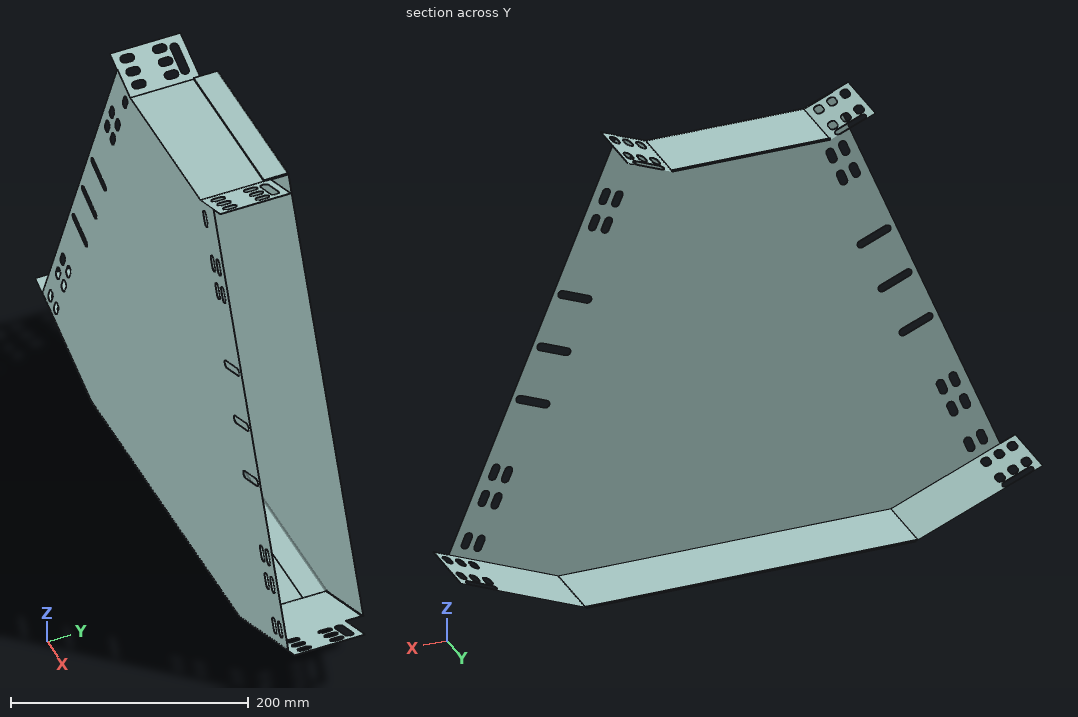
import cadquery as cq
import math


sheet = 0.8
overall_width = 531.27
wall_spacing = 401.3
wall_height = 80.0
cover_clearance = 1.0
flange_clearance = 0.6
tilt = math.radians(22.5)

inner_tab_length = 44.2
outer_tab_length = 43.4
tab_height = 65.0
tab_overhang = 15.0

flange_edge = 58.8
outer_flange_gap = 1.5

base_hole_length = 15.0
base_hole_width = 7.0
base_hole_insets = (11.5, 24.0)
base_hole_stations = (119.0, 144.0)
end_hole_station = 184.5
base_slot_length = 32.5
base_slot_width = 7.0
base_slot_inset = 21.0
base_slot_pitch = 50.0

tab_hole_length = 12.5
tab_hole_width = 7.5
tab_hole_insets = (8.5, 21.5, 34.5)
tab_hole_heights = (12.5, 42.5)
tab_slot_length = 30.5
tab_slot_width = 7.5
tab_slot_inset = 22.5
tab_slot_height = 55.0

cover_bottom = wall_height + cover_clearance
mid_depth = wall_spacing / 2
panel_reach = outer_tab_length - tab_overhang
half_growth = math.tan(tilt / 2)
inner_half = (overall_width / 2 - outer_tab_length * math.cos(tilt)
              - wall_spacing * math.sin(tilt))


def bend_point(depth):
    """Right-hand end of the flat middle stretch."""
    return (inner_half + depth * half_growth, wall_spacing - depth)


def arm_point(reach, depth):
    """Point on the right-hand oblique stretch."""
    x = inner_half + reach * math.cos(tilt) + depth * math.sin(tilt)
    z = wall_spacing + reach * math.sin(tilt) - depth * math.cos(tilt)
    return (x, z)


def symmetric_prism(right_points, y_start, y_end):
    """Extrude an XZ outline, given by its right half, from y_start to y_end."""
    left_points = [(-x, z) for x, z in reversed(right_points)]
    plane = cq.Workplane("XZ", origin=(0, y_start, 0))
    return plane.polyline(right_points + left_points).close().extrude(y_start - y_end)


def wall(upper_depth, lower_depth, tab_length):
    """Full-height bent wall between two depths."""
    outline = [
        bend_point(upper_depth),
        arm_point(tab_length, upper_depth),
        arm_point(tab_length, lower_depth),
        bend_point(lower_depth),
    ]
    return symmetric_prism(outline, 0, wall_height)


def arm_plane(depth):
    """Plane of the right-hand oblique wall: local x is reach, local y is world Y."""
    x, z = arm_point(0, depth)
    return cq.Workplane(cq.Plane(
        origin=(x, 0, z),
        xDir=(math.cos(tilt), 0, math.sin(tilt)),
        normal=(-math.sin(tilt), 0, math.cos(tilt)),
    ))


def mirrored(cutter):
    """Cutter together with its mirror image across X = 0."""
    return cutter.union(cutter.mirror("YZ"))


def tab_cutter(depth, tab_length):
    """Holes, slot and upper notch of the tabs on both ends of a wall."""
    plane = arm_plane(depth)
    cut = 4 * sheet
    holes = [(tab_length - inset, height) for inset in tab_hole_insets for height in tab_hole_heights]
    cutter = plane.pushPoints(holes).slot2D(tab_hole_length, tab_hole_width, 90).extrude(cut, both=True)
    slot = plane.center(tab_length - tab_slot_inset, tab_slot_height)
    cutter = cutter.union(slot.slot2D(tab_slot_length, tab_slot_width).extrude(cut, both=True))
    notch = arm_plane(depth).center(0, tab_height)
    notch = notch.rect(tab_length, wall_height - tab_height, centered=False).extrude(cut, both=True)
    return mirrored(cutter.union(notch))


def flat_opening(depth):
    """Space above the low flat middle of a wall."""
    half, z = bend_point(depth)
    opening_height = wall_height - flange_edge
    box = cq.Workplane("XY").box(2 * half, opening_height, 4 * sheet)
    return box.translate((0, flange_edge + opening_height / 2, z))


def base_slots(stations, insets, length, width, angle):
    """Cutter for slots in the base panel near its right-hand open edge."""
    points = [arm_point(panel_reach - inset, mid_depth - station)
              for station in stations for inset in insets]
    plane = cq.Workplane("XZ").pushPoints(points)
    return plane.slot2D(length, width, angle).extrude(2 * sheet, both=True)


def base_cutter():
    """All holes and slots of the base panel."""
    across = math.degrees(tilt)
    along = across + 90
    paired = [sign * station for station in base_hole_stations for sign in (1, -1)]
    paired.append(-end_hole_station)
    slots = (-base_slot_pitch, 0, base_slot_pitch)
    cutter = base_slots(paired, base_hole_insets, base_hole_length, base_hole_width, along)
    cutter = cutter.union(base_slots(
        [end_hole_station], base_hole_insets[1:], base_hole_length, base_hole_width, along))
    cutter = cutter.union(base_slots(
        slots, [base_slot_inset], base_slot_length, base_slot_width, across))
    return mirrored(cutter)


def make_tray():
    """Base panel with the inner and outer wall."""
    outline = [
        bend_point(0),
        arm_point(panel_reach, 0),
        arm_point(panel_reach, wall_spacing),
        bend_point(wall_spacing),
    ]
    tray = symmetric_prism(outline, 0, sheet)
    tray = tray.union(wall(0, sheet, inner_tab_length))
    tray = tray.union(wall(wall_spacing - sheet, wall_spacing, outer_tab_length))
    for depth, tab_length in ((0, inner_tab_length), (wall_spacing, outer_tab_length)):
        tray = tray.cut(tab_cutter(depth, tab_length)).cut(flat_opening(depth))
    return tray.cut(base_cutter())


def flange(half_length, wall_face, outward):
    """Strip of the cover that bends down outside a wall (outward: +1 or -1 in Z)."""
    inside = wall_face + outward * flange_clearance
    outside = inside + outward * sheet
    bend_y = cover_bottom - flange_clearance
    inner_turn = flange_clearance * math.sqrt(0.5)
    outer_turn = (flange_clearance + sheet) * math.sqrt(0.5)
    profile = cq.Workplane("YZ", origin=(-half_length, 0, 0)).moveTo(flange_edge, outside)
    profile = profile.lineTo(bend_y, outside)
    profile = profile.threePointArc(
        (bend_y + outer_turn, wall_face + outward * outer_turn), (cover_bottom + sheet, wall_face))
    profile = profile.lineTo(cover_bottom, wall_face)
    profile = profile.threePointArc(
        (bend_y + inner_turn, wall_face + outward * inner_turn), (bend_y, inside))
    return profile.lineTo(flange_edge, inside).close().extrude(2 * half_length)


def make_cover():
    """Back panel, as wide as the full-height walls, with a flange outside each flat wall."""
    outer_half = bend_point(wall_spacing)[0]
    outline = [
        bend_point(0),
        arm_point(0, wall_spacing),
        bend_point(wall_spacing),
    ]
    cover = symmetric_prism(outline, cover_bottom, cover_bottom + sheet)
    cover = cover.union(flange(inner_half, wall_spacing, 1))
    return cover.union(flange(outer_half - outer_flange_gap, 0, -1))


tray = make_tray()
cover = make_cover()
result = cq.Compound.makeCompound([tray.val(), cover.val()])